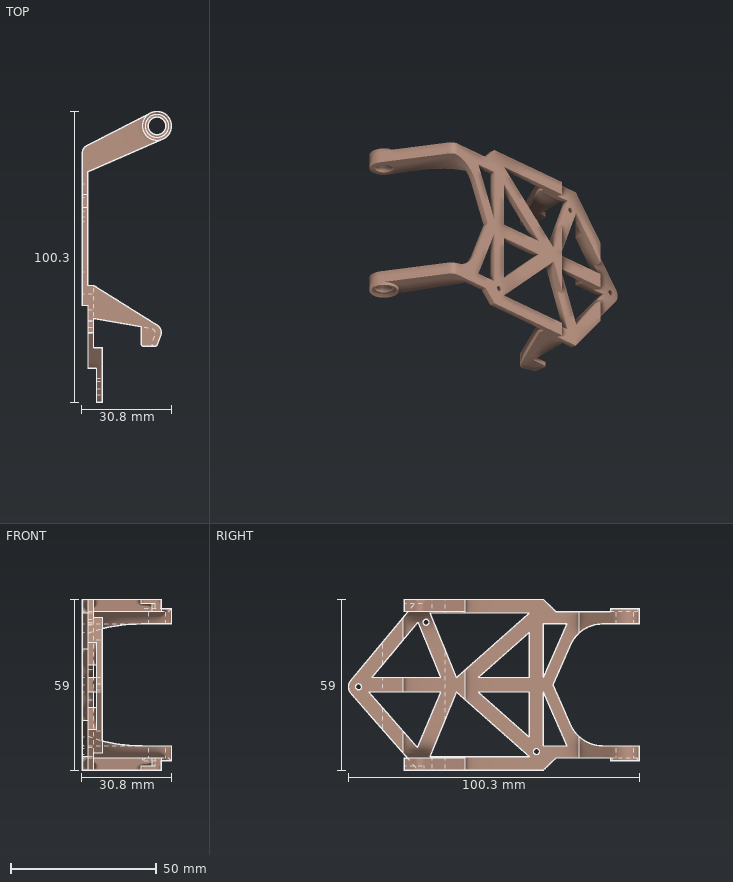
import cadquery as cq
import math


back_layer_x = 2.0
middle_layer_x = 4.0
nose_back_x = 4.9
nose_front_x = 7.0

middle_start_y = -55.0
back_end_y = -62.0
nose_start_y = -76.4
middle_end_y = -83.6

half_height = 29.5
shoulder_start_y = -23.7
shoulder_end_y = -28.1
nose_edge_start_y = -71.2
nose_center = (-91.79, -0.7)
nose_radius = 3.5
notch_apex_y = -24.7
notch_radius = 12.0

rail_inner_z = 24.75
rib_half_width = 2.55
post_width = 4.85
post_front_y = shoulder_end_y - post_width
rear_window_y = -20.0
rear_window_z = 21.0
diagonal_window_z = 18.0
diagonal_end_y = -50.45
diagonal_rib_y = -58.0
rail_window_end_y = -67.1
nose_window_root_y = -63.5
nose_window_apex_z = 21.55
nose_band = 5.0

screw_hole_diameter = 2.0
screw_holes = [(-68.5, 21.6), (-30.45, -23.0), nose_center]

eye_x = 25.82
eye_center = (eye_x, 0)
eye_radius = 5.0
eye_hole_radius = 3.0
eye_seat_radius = 4.0
arm_inner_z = rear_window_z
arm_outer_z = 25.25
collar_height = 1.0
arm_back_corner = (0.0, -7.6)
arm_back_radius = 3.0
arm_front_corner = (back_layer_x, -15.85)

hook_outer_z = half_height
hook_flange_z = 28.0
hook_inner_z = arm_outer_z
hook_top_slope = math.radians(32)
hook_under_slope = math.radians(9.8)
hook_under_y = -66.45
hook_flange_x = 20.3
hook_end_y = -76.05
hook_knee_radius = 3.0
lip_angle = math.radians(21)
lip_width = 2.0
lip_end_x = 25.7
lip_end_radius = lip_width / 2
lip_root_radius = 1.6

min_edge = 1e-6


def tangent_point(point, center, radius, side):
    """Point where a line from `point` touches a circle; side is +1 or -1."""
    dx = point[0] - center[0]
    dy = point[1] - center[1]
    angle = math.atan2(dy, dx) + side * math.acos(radius / math.hypot(dx, dy))
    return (center[0] + radius * math.cos(angle), center[1] + radius * math.sin(angle))


def rounded_polygon(plane, corners):
    """Closed outline from (u, v, radius) corners; radius 0 keeps a corner sharp."""
    arcs = []
    for index, (u, v, radius) in enumerate(corners):
        corner = cq.Vector(u, v)
        before = cq.Vector(*corners[index - 1][:2])
        after = cq.Vector(*corners[(index + 1) % len(corners)][:2])
        to_before = (before - corner).normalized()
        to_after = (after - corner).normalized()
        half_angle = to_before.getAngle(to_after) / 2
        setback = radius / math.tan(half_angle)
        start = corner + to_before * setback
        end = corner + to_after * setback
        bisector = (to_before + to_after).normalized()
        middle = corner + bisector * (radius / math.sin(half_angle) - radius)
        arcs.append((start, middle, end))
    end = arcs[-1][2]
    outline = cq.Workplane(plane).moveTo(end.x, end.y)
    for start, middle, next_end in arcs:
        if (start - end).Length > min_edge:
            outline = outline.lineTo(start.x, start.y)
        end = next_end
        if (end - start).Length > min_edge:
            outline = outline.threePointArc((middle.x, middle.y), (end.x, end.y))
    return outline.close()


def prism_yz(points):
    """Prism along X, long enough to pass through the whole part."""
    return cq.Workplane("YZ").polyline(points).close().extrude(eye_x + eye_radius)


def nose_edge(side):
    """End point of the slanted nose edge on the given Z side (+1 or -1)."""
    return tangent_point((nose_edge_start_y, side * half_height), nose_center, nose_radius, side)


def side_profile():
    """Stepped frame and hinge arm up to the eye, seen along Z, over the full height."""
    upper = tangent_point(arm_back_corner, eye_center, eye_radius, -1)
    lower = tangent_point(arm_front_corner, eye_center, eye_radius, 1)
    nose_tip_y = nose_center[0] - nose_radius
    corners = [
        (*arm_back_corner, arm_back_radius),
        (*upper, 0),
        (*lower, 0),
        (*arm_front_corner, 0),
        (back_layer_x, middle_start_y, 0),
        (middle_layer_x, middle_start_y, 0),
        (middle_layer_x, nose_start_y, 0),
        (nose_front_x, nose_start_y, 0),
        (nose_front_x, nose_tip_y, 0),
        (nose_back_x, nose_tip_y, 0),
        (nose_back_x, middle_end_y, 0),
        (back_layer_x, middle_end_y, 0),
        (back_layer_x, back_end_y, 0),
        (0, back_end_y, 0),
    ]
    return rounded_polygon("XY", corners).extrude(half_height, both=True)


def face_outline():
    """Outer contour of the frame seen along X, with the round-cornered rear notch."""
    upper_half = [
        (eye_radius, arm_outer_z),
        (shoulder_start_y, arm_outer_z),
        (shoulder_end_y, half_height),
        (nose_edge_start_y, half_height),
        nose_edge(1),
    ]
    lower_half = [
        nose_edge(-1),
        (nose_edge_start_y, -half_height),
        (shoulder_end_y, -half_height),
        (shoulder_start_y, -arm_outer_z),
        (eye_radius, -arm_outer_z),
    ]
    outline = prism_yz(upper_half + lower_half)
    depth = eye_x + eye_radius
    nose = cq.Workplane("YZ").center(*nose_center).circle(nose_radius).extrude(depth)
    strut_slope = (rear_window_z - rib_half_width) / (rear_window_y - shoulder_end_y)
    notch_side_y = notch_apex_y + arm_inner_z / strut_slope
    notch_corners = [
        (eye_radius, arm_inner_z, 0),
        (notch_side_y, arm_inner_z, notch_radius),
        (notch_apex_y, 0, 0),
        (notch_side_y, -arm_inner_z, notch_radius),
        (eye_radius, -arm_inner_z, 0),
    ]
    notch = rounded_polygon("YZ", notch_corners).extrude(depth)
    return outline.union(nose).cut(notch)


def windows(side):
    """The four triangular openings on the given Z side (+1 or -1)."""
    edge_y, edge_z = nose_edge(side)
    run = edge_y - nose_edge_start_y
    rise = edge_z - side * half_height
    band_y = nose_band * math.hypot(run, rise) / abs(rise)

    def nose_strut_y(z):
        return nose_edge_start_y + (z - half_height) * run / (side * rise) + band_y

    triangles = [
        [(rear_window_y, rear_window_z), (shoulder_end_y, rear_window_z), (shoulder_end_y, rib_half_width)],
        [(post_front_y, diagonal_window_z), (post_front_y, rib_half_width), (diagonal_end_y, rib_half_width)],
        [(post_front_y, rail_inner_z), (rail_window_end_y, rail_inner_z), (diagonal_rib_y, rib_half_width)],
        [
            (nose_strut_y(nose_window_apex_z), nose_window_apex_z),
            (nose_window_root_y, rib_half_width),
            (nose_strut_y(rib_half_width), rib_half_width),
        ],
    ]
    return [prism_yz([(y, side * z) for y, z in triangle]) for triangle in triangles]


def hook():
    """Upper hook: a full flange outside and a pocketed lip inside."""
    lip_slope = math.tan(lip_angle)
    top_slope = math.tan(hook_top_slope)
    lip_x_at_root = lip_end_x + lip_slope * (middle_start_y - hook_end_y)
    knee_run = (lip_x_at_root - middle_layer_x) / (1 + lip_slope * top_slope)
    knee = (middle_layer_x + knee_run, middle_start_y - top_slope * knee_run)
    under_slope = math.tan(hook_under_slope)
    inner_end_x = lip_end_x - lip_width / math.cos(lip_angle)
    inner_x_at_under = inner_end_x + lip_slope * (hook_under_y - hook_end_y)
    root_run = (inner_x_at_under - middle_layer_x) / (1 + lip_slope * under_slope)
    lip_root = (middle_layer_x + root_run, hook_under_y - under_slope * root_run)

    base = [
        (back_layer_x, hook_under_y, 0),
        (back_layer_x, middle_start_y, 0),
        (middle_layer_x, middle_start_y, 0),
        (*knee, hook_knee_radius),
        (lip_end_x, hook_end_y, lip_end_radius),
    ]
    under_start = (middle_layer_x, hook_under_y, 0)
    flange_under_y = hook_under_y - under_slope * (hook_flange_x - middle_layer_x)
    flange_corners = base + [
        (hook_flange_x, hook_end_y, lip_end_radius),
        (hook_flange_x, flange_under_y, 0),
        under_start,
    ]
    lip_corners = base + [
        (inner_end_x, hook_end_y, lip_end_radius),
        (*lip_root, lip_root_radius),
        under_start,
    ]
    flange = rounded_polygon("XY", flange_corners).extrude(hook_outer_z - hook_flange_z)
    lip = rounded_polygon("XY", lip_corners).extrude(hook_flange_z - hook_inner_z)
    return flange.translate((0, 0, hook_flange_z)).union(lip.translate((0, 0, hook_inner_z)))


def eye(side):
    """Hinge eye post and the conical mouth cut into its collar, on the given Z side (+1 or -1)."""
    height = arm_outer_z + collar_height - arm_inner_z
    post = cq.Workplane("XY", origin=(0, 0, side * arm_inner_z)).center(*eye_center)
    post = post.circle(eye_radius).extrude(side * height)
    rim_z = side * (arm_outer_z + collar_height)
    rim_center = cq.Vector(*eye_center, rim_z)
    inward = cq.Vector(0, 0, -side)
    mouth = cq.Solid.makeCone(eye_radius, eye_seat_radius, collar_height, rim_center, inward)
    return post, cq.Workplane(mouth)


body = side_profile().intersect(face_outline())
for z_side in (1, -1):
    for window in windows(z_side):
        body = body.cut(window)
    eye_post, eye_mouth = eye(z_side)
    body = body.union(eye_post).cut(eye_mouth)

upper_hook = hook()
body = body.union(upper_hook).union(upper_hook.mirror("XY"))

eye_hole = cq.Workplane("XY").center(*eye_center).circle(eye_hole_radius).extrude(half_height, both=True)
screws = cq.Workplane("YZ").pushPoints(screw_holes).circle(screw_hole_diameter / 2).extrude(nose_front_x)

result = body.cut(eye_hole).cut(screws).clean()